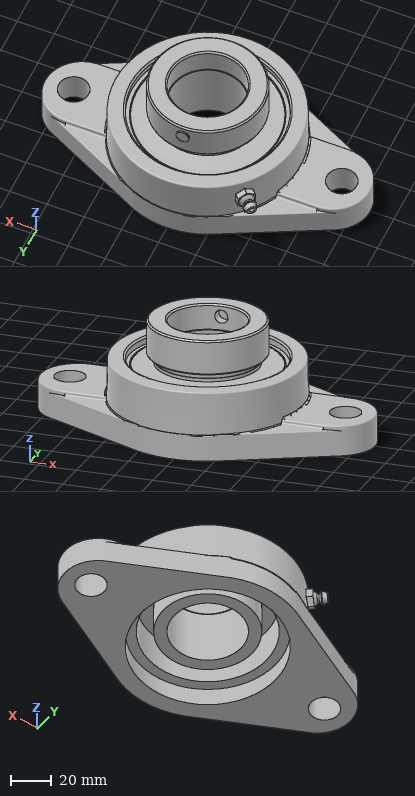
import cadquery as cq
import math

LENGTH = 175.0
WIDTH = 100.0
PLATE_HEIGHT = 13.6
PLATE_EDGE_RADIUS = 0.5
PAD_HEIGHT = 16.0
DRUM_HEIGHT = 36.0
MIDDLE_RADIUS = WIDTH / 2
DRUM_BASE_RADIUS = 49.9
DRUM_TOP_RADIUS = 49.5
PAD_RADIUS = 20.0
PAD_CENTER = LENGTH / 2 - PAD_RADIUS
SHOULDER_X = 19.8
EDGE_RADIUS = 0.96
BOLT_SPACING = 144.0
BOLT_HOLE_DIAMETER = 16.0

BORE_DIAMETER = 40.0
OUTER_RING_RADIUS = 81.2 / 2
SEAT_CHAMFER_RADIUS = 83.1 / 2
RING_TOP = 32.0
RING_BOTTOM = 10.5
SEAL_RADIUS = 38.0
SEAL_RIM_RADIUS = 70.4 / 2
SEAL_THICKNESS = 1.8
SEAL_RISE = 0.9
RING_EDGE_CHAMFER = 0.5
INNER_RING_RADIUS = 53.2 / 2
INNER_RING_STEP = 34.6
INNER_RING_NOSE_RADIUS = 52.3 / 2
INNER_RING_TOP = 42.4
INNER_RING_CHAMFER = 0.4

COLLAR_RADIUS = 60.4 / 2
COLLAR_BOTTOM = 37.6
TOTAL_HEIGHT = 55.8
COLLAR_CHAMFER = 0.9
SCREW_DIAMETER = 6.8
SCREW_HEIGHT = 49.5
SCREW_INNER_END = 25.7
SCREW_OUTER_END = 31.0

NIPPLE_ANGLE = 135.0
NIPPLE_HEIGHT = 26.0
NIPPLE_SEAT = 48.6
HEX_FLATS = 9.1
HEX_END = 52.8
FOOT_RADIUS = 4.2
FOOT_TOP_RADIUS = 6.0 / 2
FOOT_END = 54.0
NECK_RADIUS = 2.3
NECK_START = 54.6
NECK_END = 55.5
HEAD_RADIUS = 6.8 / 2
HEAD_START = 56.7
HEAD_END = 57.2
TIP_RADIUS = 2.5
NIPPLE_TIP = 59.7
GREASE_HOLE_DIAMETER = 2.5
GREASE_HOLE_DEPTH = 2.6


def revolve_profile(points):
    """Turn a closed (radius, height) profile about the Z axis."""
    return cq.Workplane("XZ").polyline(points).close().revolve(360, (0, 0, 0), (0, 1, 0))


def plate_outline():
    """Round middle with straight flanks that run tangent into the two round ends."""
    shoulder_y = math.sqrt(MIDDLE_RADIUS**2 - SHOULDER_X**2)
    to_shoulder = math.hypot(PAD_CENTER - SHOULDER_X, shoulder_y)
    shoulder_angle = math.pi - math.asin(shoulder_y / to_shoulder)
    touch_angle = shoulder_angle - math.acos(PAD_RADIUS / to_shoulder)
    touch_x = PAD_CENTER + PAD_RADIUS * math.cos(touch_angle)
    touch_y = PAD_RADIUS * math.sin(touch_angle)
    return (
        cq.Workplane("XY")
        .moveTo(-SHOULDER_X, shoulder_y)
        .threePointArc((0, MIDDLE_RADIUS), (SHOULDER_X, shoulder_y))
        .lineTo(touch_x, touch_y)
        .threePointArc((LENGTH / 2, 0), (touch_x, -touch_y))
        .lineTo(SHOULDER_X, -shoulder_y)
        .threePointArc((0, -MIDDLE_RADIUS), (-SHOULDER_X, -shoulder_y))
        .lineTo(-touch_x, -touch_y)
        .threePointArc((-LENGTH / 2, 0), (-touch_x, touch_y))
        .close()
    )


def make_pad():
    """Raised strip through both bolt holes, rounded on top and blended into the plate at its sides."""
    strip = cq.Workplane("XY").slot2D(LENGTH, 2 * PAD_RADIUS).extrude(PAD_HEIGHT)
    strip = strip.faces(">Z").edges().fillet(EDGE_RADIUS)
    blend = (
        cq.Workplane("YZ")
        .moveTo(PAD_RADIUS, PLATE_HEIGHT)
        .lineTo(PAD_RADIUS + EDGE_RADIUS, PLATE_HEIGHT)
        .radiusArc((PAD_RADIUS, PLATE_HEIGHT + EDGE_RADIUS), EDGE_RADIUS)
        .close()
        .extrude(PAD_CENTER, both=True)
    )
    return strip.union(blend).union(blend.mirror("XZ"))


def make_plate():
    """Flat plate whose flanks and ends are rounded on top; its round middle stays sharp under the drum."""
    plate = plate_outline().extrude(PLATE_HEIGHT)
    beside_drum = cq.selectors.BoxSelector(
        (-SHOULDER_X, -WIDTH, 0), (SHOULDER_X, WIDTH, DRUM_HEIGHT)
    )
    top_edges = cq.selectors.DirectionMinMaxSelector(cq.Vector(0, 0, 1))
    rounded_edges = cq.selectors.SubtractSelector(top_edges, beside_drum)
    return plate.edges(rounded_edges).fillet(PLATE_EDGE_RADIUS)


def make_drum():
    """Tapered round drum with a rounded rim, standing on the plate."""
    drum = revolve_profile(
        [
            (0, PLATE_HEIGHT),
            (DRUM_BASE_RADIUS, PLATE_HEIGHT),
            (DRUM_TOP_RADIUS, DRUM_HEIGHT),
            (0, DRUM_HEIGHT),
        ]
    )
    return drum.faces(">Z").edges().fillet(EDGE_RADIUS)


def drum_blend(floor, radius):
    """Ring that carries a concave blend between the drum wall and a flat at height `floor`."""
    return (
        cq.Workplane("XZ")
        .moveTo(OUTER_RING_RADIUS, floor - radius)
        .lineTo(DRUM_BASE_RADIUS + radius, floor - radius)
        .lineTo(DRUM_BASE_RADIUS + radius, floor)
        .radiusArc((DRUM_BASE_RADIUS, floor + radius), radius)
        .lineTo(OUTER_RING_RADIUS, floor + radius)
        .close()
        .revolve(360, (0, 0, 0), (0, 1, 0))
    )


def make_pad_blend():
    """Blend between the drum and the flat tops of the two pads."""
    flat_width = 2 * (PAD_RADIUS - EDGE_RADIUS)
    pads = cq.Workplane("XY").box(LENGTH, flat_width, 2 * DRUM_HEIGHT)
    return drum_blend(PAD_HEIGHT, EDGE_RADIUS).intersect(pads)


def make_plate_blend():
    """Blend between the drum and the plate beside the pads, left out at the round middle."""
    outline = plate_outline().extrude(DRUM_HEIGHT)
    middle = cq.Workplane("XY").box(2 * SHOULDER_X, LENGTH, 2 * DRUM_HEIGHT)
    return drum_blend(PLATE_HEIGHT, PLATE_EDGE_RADIUS).intersect(outline).cut(middle)


def make_housing():
    body = make_plate().union(make_pad()).union(make_drum())
    body = body.union(make_plate_blend()).union(make_pad_blend())

    bolt_holes = (
        cq.Workplane("XY")
        .pushPoints([(-BOLT_SPACING / 2, 0), (BOLT_SPACING / 2, 0)])
        .circle(BOLT_HOLE_DIAMETER / 2)
        .extrude(PAD_HEIGHT)
    )
    seat_chamfer = SEAT_CHAMFER_RADIUS - OUTER_RING_RADIUS
    seat = revolve_profile(
        [
            (0, 0),
            (OUTER_RING_RADIUS, 0),
            (OUTER_RING_RADIUS, DRUM_HEIGHT - seat_chamfer),
            (SEAT_CHAMFER_RADIUS, DRUM_HEIGHT),
            (0, DRUM_HEIGHT),
        ]
    )
    return body.cut(bolt_holes).cut(seat).cut(nipple_hex())


def make_outer_ring():
    shelf = RING_TOP - SEAL_THICKNESS
    return revolve_profile(
        [
            (SEAL_RIM_RADIUS, RING_BOTTOM),
            (OUTER_RING_RADIUS, RING_BOTTOM),
            (OUTER_RING_RADIUS, RING_TOP),
            (SEAL_RADIUS + RING_EDGE_CHAMFER, RING_TOP),
            (SEAL_RADIUS, RING_TOP - RING_EDGE_CHAMFER),
            (SEAL_RADIUS, shelf),
            (SEAL_RIM_RADIUS, shelf),
        ]
    )


def make_seal():
    """Flat rim held in the outer ring, rising as a shallow cone to the inner ring."""
    return revolve_profile(
        [
            (INNER_RING_RADIUS, RING_TOP - SEAL_THICKNESS),
            (SEAL_RADIUS, RING_TOP - SEAL_THICKNESS),
            (SEAL_RADIUS, RING_TOP),
            (SEAL_RIM_RADIUS, RING_TOP),
            (INNER_RING_RADIUS, RING_TOP + SEAL_RISE),
        ]
    )


def make_inner_ring():
    bore_radius = BORE_DIAMETER / 2
    return revolve_profile(
        [
            (bore_radius, RING_BOTTOM),
            (INNER_RING_RADIUS, RING_BOTTOM),
            (INNER_RING_RADIUS, INNER_RING_STEP),
            (INNER_RING_NOSE_RADIUS, INNER_RING_STEP),
            (INNER_RING_NOSE_RADIUS, INNER_RING_TOP),
            (bore_radius + INNER_RING_CHAMFER, INNER_RING_TOP),
            (bore_radius, INNER_RING_TOP - INNER_RING_CHAMFER),
        ]
    )


def screw_cylinder(start, end):
    """Radial cylinder toward +Y at the height of the set screw."""
    plane = cq.Workplane("XZ", origin=(0, start, SCREW_HEIGHT))
    return plane.circle(SCREW_DIAMETER / 2).extrude(start - end)


def make_collar():
    """Collar seated on the top face of the inner ring, with a socket that takes the nose of the ring."""
    bore_radius = BORE_DIAMETER / 2
    collar = revolve_profile(
        [
            (INNER_RING_NOSE_RADIUS, COLLAR_BOTTOM),
            (COLLAR_RADIUS - COLLAR_CHAMFER, COLLAR_BOTTOM),
            (COLLAR_RADIUS, COLLAR_BOTTOM + COLLAR_CHAMFER),
            (COLLAR_RADIUS, TOTAL_HEIGHT - COLLAR_CHAMFER),
            (COLLAR_RADIUS - COLLAR_CHAMFER, TOTAL_HEIGHT),
            (bore_radius + COLLAR_CHAMFER, TOTAL_HEIGHT),
            (bore_radius, TOTAL_HEIGHT - COLLAR_CHAMFER),
            (bore_radius, INNER_RING_TOP),
            (INNER_RING_NOSE_RADIUS, INNER_RING_TOP),
        ]
    )
    return collar.cut(screw_cylinder(0, SCREW_OUTER_END))


def make_set_screw():
    return screw_cylinder(SCREW_INNER_END, SCREW_OUTER_END)


def place_nipple(shape):
    """Move a shape built along +Z to the side of the drum."""
    turned = shape.rotate((0, 0, 0), (0, 1, 0), 90).rotate((0, 0, 0), (0, 0, 1), NIPPLE_ANGLE)
    return turned.translate((0, 0, NIPPLE_HEIGHT))


def nipple_hex():
    corners = HEX_FLATS / math.cos(math.radians(30))
    hexagon = cq.Workplane("XY", origin=(0, 0, NIPPLE_SEAT)).polygon(6, corners)
    return place_nipple(hexagon.extrude(HEX_END - NIPPLE_SEAT))


def make_nipple():
    head = revolve_profile(
        [
            (0, HEX_END),
            (FOOT_RADIUS, HEX_END),
            (FOOT_TOP_RADIUS, FOOT_END),
            (NECK_RADIUS, NECK_START),
            (NECK_RADIUS, NECK_END),
            (HEAD_RADIUS, HEAD_START),
            (HEAD_RADIUS, HEAD_END),
            (TIP_RADIUS, NIPPLE_TIP),
            (0, NIPPLE_TIP),
        ]
    )
    grease_hole = cq.Workplane("XY", origin=(0, 0, NIPPLE_TIP)).circle(GREASE_HOLE_DIAMETER / 2)
    head = head.cut(grease_hole.extrude(-GREASE_HOLE_DEPTH))
    return nipple_hex().union(place_nipple(head))


housing = make_housing()
outer_ring = make_outer_ring()
seal = make_seal()
inner_ring = make_inner_ring()
collar = make_collar()
set_screw = make_set_screw()
nipple = make_nipple()

result = cq.Compound.makeCompound(
    [
        housing.val(),
        outer_ring.val(),
        seal.val(),
        inner_ring.val(),
        collar.val(),
        set_screw.val(),
        nipple.val(),
    ]
)